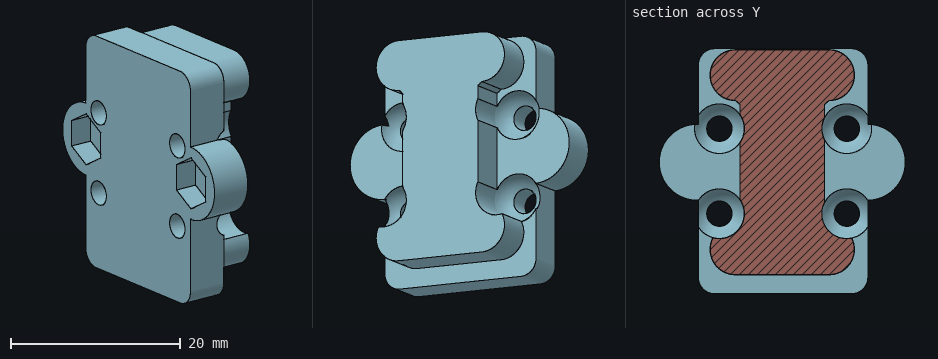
import cadquery as cq


PLATE_WIDTH = 20.0
PLATE_HEIGHT = 28.9
PLATE_THICKNESS = 5.0
PLATE_CORNER_RADIUS = 1.95
PLATE_CENTER_X = -0.1
PLATE_CENTER_Z = -1.05

EAR_SPACING = 20.0
EAR_RADIUS = 4.5
NUT_ACROSS_FLATS = 5.5
NUT_POCKET_DEPTH = 2.85

HOLE_DIAMETER = 2.93
HOLE_SPACING_X = 15.0
HOLE_SPACING_Z = 10.0
HEAD_RADIUS = 2.92
HEAD_DEPTH = 2.4

BOSS_WIDTH = 17.0
BOSS_HEIGHT = 26.5
BOSS_THICKNESS = 5.0
BAR_HEIGHT = 6.0
NECK_WIDTH = 9.95
NECK_FLARE_HEIGHT = 0.45

BACK_Y = PLATE_THICKNESS + BOSS_THICKNESS
EAR_POINTS = [(-EAR_SPACING / 2, 0), (EAR_SPACING / 2, 0)]
HOLE_POINTS = [
    (PLATE_CENTER_X + side * HOLE_SPACING_X / 2, PLATE_CENTER_Z + level * HOLE_SPACING_Z / 2)
    for side in (-1, 1)
    for level in (-1, 1)
]


def plane_at(y):
    """XZ sketch plane at depth y, with its normal along -Y so that local axes are X and Z."""
    return cq.Workplane("XZ", origin=(0, y, 0))


def make_plate():
    plate = (
        plane_at(0)
        .center(PLATE_CENTER_X, PLATE_CENTER_Z)
        .rect(PLATE_WIDTH, PLATE_HEIGHT)
        .extrude(-PLATE_THICKNESS)
        .edges("|Y")
        .fillet(PLATE_CORNER_RADIUS)
    )
    ears = plane_at(0).pushPoints(EAR_POINTS).circle(EAR_RADIUS).extrude(-PLATE_THICKNESS)
    return plate.union(ears)


def make_bar(center_z):
    return (
        plane_at(PLATE_THICKNESS)
        .center(0, center_z)
        .slot2D(BOSS_WIDTH, BAR_HEIGHT)
        .extrude(-BOSS_THICKNESS)
    )


def make_neck():
    """Neck between the bars, flaring out to the full flat of each bar."""
    half_neck = NECK_WIDTH / 2
    half_flare = (BOSS_WIDTH - BAR_HEIGHT) / 2
    bar_edge_z = BOSS_HEIGHT / 2 - BAR_HEIGHT
    bar_middle_z = BOSS_HEIGHT / 2 - BAR_HEIGHT / 2
    flare_end_z = bar_edge_z - NECK_FLARE_HEIGHT
    upper_right = [
        (half_neck, flare_end_z),
        (half_flare, bar_edge_z),
        (half_flare, bar_middle_z),
    ]
    upper_left = [(-x, z) for x, z in reversed(upper_right)]
    upper = upper_right + upper_left
    lower = [(-x, -z) for x, z in upper]
    return plane_at(PLATE_THICKNESS).polyline(upper + lower).close().extrude(-BOSS_THICKNESS)


def make_boss():
    bar_center_z = (BOSS_HEIGHT - BAR_HEIGHT) / 2
    return make_neck().union(make_bar(bar_center_z)).union(make_bar(-bar_center_z))


def make_screw_cutters():
    """Through hole, head clearance past the boss and a spherical head seat, at each screw."""
    holes = plane_at(0).pushPoints(HOLE_POINTS).circle(HOLE_DIAMETER / 2).extrude(-BACK_Y)
    clearances = (
        plane_at(PLATE_THICKNESS).pushPoints(HOLE_POINTS).circle(HEAD_RADIUS).extrude(-BOSS_THICKNESS)
    )
    dome_radius = (HEAD_RADIUS**2 + HEAD_DEPTH**2) / (2 * HEAD_DEPTH)
    dome_center_y = PLATE_THICKNESS - HEAD_DEPTH + dome_radius
    seat_limits = (
        plane_at(0).pushPoints(HOLE_POINTS).circle(HEAD_RADIUS).extrude(-PLATE_THICKNESS)
    )
    domes = plane_at(dome_center_y).pushPoints(HOLE_POINTS).sphere(dome_radius, combine=False)
    return [holes, clearances, domes.intersect(seat_limits)]


def make_nut_pockets():
    """Hexagons with two corners pointing along Z."""
    return (
        plane_at(0)
        .pushPoints(EAR_POINTS)
        .polygon(6, NUT_ACROSS_FLATS, circumscribed=True)
        .extrude(-NUT_POCKET_DEPTH)
    )


result = make_plate().union(make_boss())
for cutter in make_screw_cutters():
    result = result.cut(cutter)
result = result.cut(make_nut_pockets())